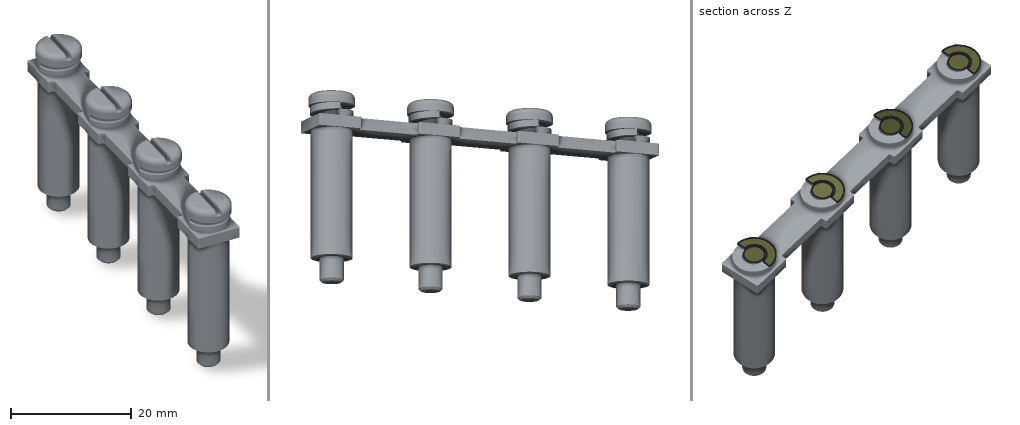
import cadquery as cq

POST_COUNT = 4
POST_PITCH = 18.0

BAR_LENGTH = 61.8
BAR_WIDTH = 5.55
BAR_THICKNESS = 2.0
END_TAB_LENGTH = 7.65
MIDDLE_TAB_LENGTH = 7.5
TAB_WIDTH = 7.8
TAB_CORNER_RADIUS = 0.25

HEAD_DIAMETER = 7.8
HEAD_HEIGHT = 2.1
HEAD_GAP = 2.2
HEAD_EDGE_RADIUS = 1.0
SLOT_WIDTH = 1.0
SLOT_DEPTH = 1.0
SHANK_DIAMETER = 3.6
SLEEVE_DIAMETER = 7.0
SLEEVE_LENGTH = 21.6
TIP_DIAMETER = 4.0
TIP_LENGTH = 4.1
TIP_CHAMFER = 0.4

RING_OUTER_DIAMETER = 7.3
RING_INNER_DIAMETER = 4.1
RING_THICKNESS = 1.1
RING_HEAD_OVERLAP = 0.05
RING_END_ANGLE = -90.0

ring_rise = HEAD_GAP + RING_HEAD_OVERLAP - RING_THICKNESS
head_bottom = BAR_THICKNESS + HEAD_GAP
head_top = head_bottom + HEAD_HEIGHT
post_positions = [(i - (POST_COUNT - 1) / 2) * POST_PITCH for i in range(POST_COUNT)]


def block(length, width, center_x):
    """Block of bar thickness standing on Z = 0."""
    return (
        cq.Workplane("XY")
        .center(center_x, 0)
        .rect(length, width)
        .extrude(BAR_THICKNESS)
    )


def make_bar():
    """Flat bar with a wider tab at each post and a shank hole."""
    end_tab_x = (BAR_LENGTH - END_TAB_LENGTH) / 2
    bar = block(BAR_LENGTH, BAR_WIDTH, 0)
    for x in (-end_tab_x, end_tab_x):
        bar = bar.union(block(END_TAB_LENGTH, TAB_WIDTH, x))
    for x in post_positions[1:-1]:
        bar = bar.union(block(MIDDLE_TAB_LENGTH, TAB_WIDTH, x))
    bar = bar.edges("|Z").fillet(TAB_CORNER_RADIUS)
    return (
        bar.faces("<Z")
        .workplane(origin=(0, 0, 0))
        .pushPoints([(x, 0) for x in post_positions])
        .hole(SHANK_DIAMETER)
    )


def make_spring_ring():
    """One helical turn of rectangular section, clear of the shank, ending in the head's underside."""
    inner_radius = RING_INNER_DIAMETER / 2
    outer_radius = RING_OUTER_DIAMETER / 2
    helix = cq.Wire.makeHelix(ring_rise, ring_rise, inner_radius)
    ring = (
        cq.Workplane("XZ")
        .moveTo(inner_radius, 0)
        .lineTo(outer_radius, 0)
        .lineTo(outer_radius, RING_THICKNESS)
        .lineTo(inner_radius, RING_THICKNESS)
        .close()
        .sweep(cq.Workplane(obj=helix), isFrenet=True)
    )
    return ring.rotate((0, 0, 0), (0, 0, 1), RING_END_ANGLE).translate((0, 0, BAR_THICKNESS))


def make_head():
    """Round-edged cheese head with a screwdriver slot along X."""
    head = (
        cq.Workplane("XY", origin=(0, 0, head_bottom))
        .circle(HEAD_DIAMETER / 2)
        .extrude(HEAD_HEIGHT)
        .faces(">Z")
        .edges()
        .fillet(HEAD_EDGE_RADIUS)
    )
    slot = (
        cq.Workplane("XY", origin=(0, 0, head_top - SLOT_DEPTH))
        .rect(HEAD_DIAMETER, SLOT_WIDTH)
        .extrude(SLOT_DEPTH)
    )
    return head.cut(slot)


def make_post():
    """Screw with its spring ring above the bar, and the sleeve and tip below it."""
    shank = cq.Workplane("XY").circle(SHANK_DIAMETER / 2).extrude(head_bottom)
    sleeve = cq.Workplane("XY").circle(SLEEVE_DIAMETER / 2).extrude(-SLEEVE_LENGTH)
    tip = (
        cq.Workplane("XY", origin=(0, 0, -SLEEVE_LENGTH))
        .circle(TIP_DIAMETER / 2)
        .extrude(-TIP_LENGTH)
        .faces("<Z")
        .edges()
        .chamfer(TIP_CHAMFER)
    )
    return shank.union(make_head()).union(make_spring_ring()).union(sleeve).union(tip)


bar = make_bar().solids()
post = make_post()
posts = [post.translate((x, 0, 0)).solids().val() for x in post_positions]

result = cq.Compound.makeCompound([bar.val(), *posts])